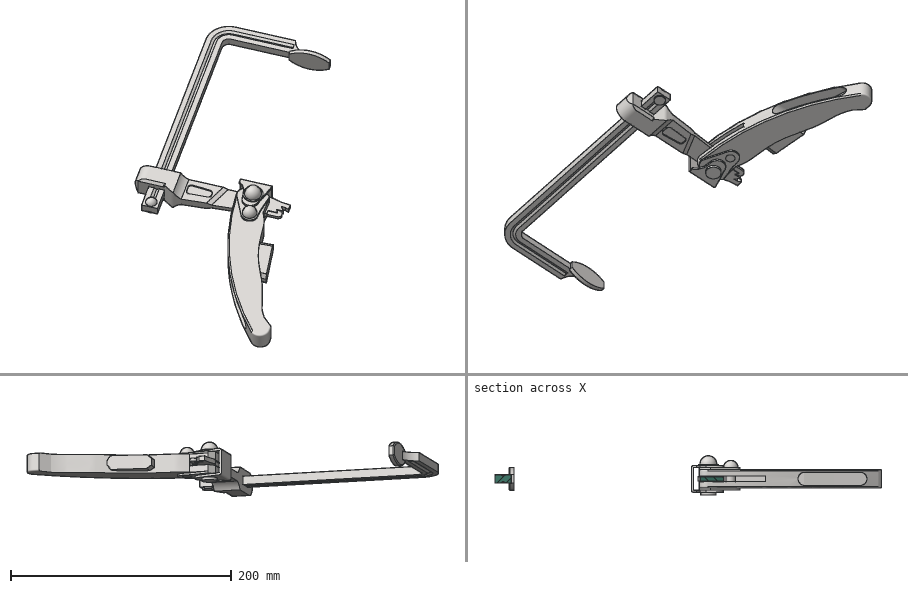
import cadquery as cq
import math


bar_width = 15.0
bar_half_thickness = 4.0
bar_left = 14.0
bar_top = 351.0
bar_bottom = 123.2
bar_end_x = 92.5
bend_inner_radius = 6.5
groove_width = 5.0
groove_depth = 1.5
stop_y = 129.0
stop_radius = 5.3
stop_top_z = 7.7
stop_bottom_z = -5.3
pad_left = 91.3
pad_right = 129.5
pad_half_height = 10.5
pad_end_half_height = 4.2
pad_front_y = 333.5
pad_thickness = 5.0
pad_bevel = 1.0
neck_end_x = 103.5

bar_mid_x = bar_left + bar_width / 2
bar_mid_y = bar_top - bar_width / 2
bend_outer_radius = bend_inner_radius + bar_width
bend_mid_radius = bend_inner_radius + bar_width / 2
bend_x = bar_left + bend_outer_radius
bend_y = bar_top - bend_outer_radius

arm_top = 164.5
head_bottom = 146.0
head_half_thickness = 10.5
head_end_x = 39.0
head_chamfer = 2.5
head_corner_bevel = 4.2
head_flat_end_x = 29.0
foot_corner_radius = 5.3
foot_inner_radius = 2.8
foot_left_x = 38.3
foot_right_x = 46.7
foot_y = 140.0
web_half_thickness = 4.0
blade_half_thickness = 2.0
blade_end_x = 147.5
step_x = 74.8
step_y = 153.7
step_run = 4.2
step_length = 84.2
step_angle = 22.5
recess_depth = 1.5
ratchet_x = 125.5
ratchet_top = 166.5
hook_bottom = 146.7
hook_y = 151.0
hook_half_thickness = 1.5

lever_half_thickness = 8.5
lever_top = 165.7
lever_outer_x = 91.3
lever_right = 169.2
lever_corner_radius = 7.7
lever_edge_fillet = 1.5
cheek_half_thickness = 10.2
blade_slot_half_width = 2.5
blade_slot_bottom = 105.3
blade_slot_depth_x = 116.0
blade_slot_through_y = 143.2
pocket_half_width = 6.0
pocket_bottom = 13.5
pocket_top = 75.8
pocket_mouth_x = 105.3

jaw_left = 93.5
jaw_right = 123.2
jaw_top = 172.7
jaw_tip_y = 143.5
plate_thickness = 2.0
jaw_half_thickness = cheek_half_thickness + plate_thickness

jaw_rivet_x = 109.5
jaw_rivet_y = 157.3
jaw_rivet_head_radius = 7.7
jaw_rivet_head_top = 21.0
jaw_rivet_collar_radius = 9.0
jaw_rivet_collar_height = 0.7
jaw_rivet_foot_radius = 7.0
jaw_rivet_foot_height = 2.5
pivot_rivet_x = 112.5
pivot_rivet_y = 137.0
pivot_rivet_head_radius = 6.5
pivot_rivet_head_top = 17.0
shank_radius = 4.2

trigger_half_thickness = 6.3
trigger_bevel = 4.2
trigger_bevel_drop = 2.8


def slab(outline, half_thickness):
    """Extrude a closed XY outline symmetrically about Z = 0."""
    return outline.extrude(2 * half_thickness).translate((0, 0, -half_thickness))


def dome(x, y, radius, base_z, top_z):
    """Spherical cap standing on a disc at base_z."""
    rise = top_z - base_z
    diagonal = radius * math.sqrt(0.5)
    sphere_radius = (radius**2 + rise**2) / (2 * rise)
    mid_rise = rise - sphere_radius + math.sqrt(sphere_radius**2 - diagonal**2)
    profile = (
        cq.Workplane("XZ")
        .moveTo(0, 0)
        .lineTo(radius, 0)
        .threePointArc((diagonal, mid_rise), (0, rise))
        .close()
    )
    return profile.revolve(360, (0, 0, 0), (0, 1, 0)).translate((x, y, base_z))


def disc(x, y, radius, z0, z1):
    """Cylinder along Z between two heights."""
    return cq.Workplane("XY").workplane(offset=z0).center(x, y).circle(radius).extrude(z1 - z0)


def make_rail():
    diagonal = math.sqrt(0.5)
    outline = (
        cq.Workplane("XY")
        .moveTo(bar_left, bar_bottom)
        .lineTo(bar_left, bend_y)
        .threePointArc(
            (bend_x - bend_outer_radius * diagonal, bend_y + bend_outer_radius * diagonal),
            (bend_x, bar_top),
        )
        .lineTo(bar_end_x, bar_top)
        .lineTo(bar_end_x, bar_top - bar_width)
        .lineTo(bend_x, bar_top - bar_width)
        .threePointArc(
            (bend_x - bend_inner_radius * diagonal, bend_y + bend_inner_radius * diagonal),
            (bar_left + bar_width, bend_y),
        )
        .lineTo(bar_left + bar_width, bar_bottom)
        .close()
    )
    rail = slab(outline, bar_half_thickness)

    path = (
        cq.Workplane("XY")
        .workplane(offset=bar_half_thickness)
        .moveTo(bar_mid_x, stop_y)
        .lineTo(bar_mid_x, bend_y)
        .threePointArc(
            (bend_x - bend_mid_radius * diagonal, bend_y + bend_mid_radius * diagonal),
            (bend_x, bar_mid_y),
        )
        .lineTo(bar_end_x, bar_mid_y)
    )
    groove = (
        cq.Workplane("XZ", origin=(bar_mid_x, stop_y, bar_half_thickness))
        .polyline([(-groove_width / 2, 0), (0, -groove_depth), (groove_width / 2, 0)])
        .close()
        .sweep(path)
    )
    return rail.cut(groove).cut(groove.mirror("XY"))


def make_pad():
    pad_mid_x = (pad_left + pad_right) / 2
    return (
        cq.Workplane("XZ", origin=(0, pad_front_y, 0))
        .moveTo(pad_left, bar_half_thickness)
        .threePointArc((pad_mid_x, pad_half_height), (pad_right, pad_end_half_height))
        .lineTo(pad_right, -pad_end_half_height)
        .threePointArc((pad_mid_x, -pad_half_height), (pad_left, -bar_half_thickness))
        .close()
        .extrude(-pad_thickness)
        .faces(">Y")
        .chamfer(pad_bevel)
    )


def make_neck():
    pad_back_y = pad_front_y + pad_thickness
    outline = (
        cq.Workplane("XY")
        .moveTo(bar_end_x, pad_front_y)
        .lineTo(bar_end_x, bar_top)
        .threePointArc((97.0, 343.0), (neck_end_x, pad_back_y))
        .lineTo(neck_end_x, pad_front_y)
        .close()
    )
    return slab(outline, bar_half_thickness)


def make_bar():
    stop = dome(bar_mid_x, stop_y, stop_radius, bar_half_thickness, stop_top_z)
    stop_core = disc(bar_mid_x, stop_y, stop_radius, stop_bottom_z, bar_half_thickness)
    return make_rail().union(make_neck()).union(make_pad()).union(stop_core).union(stop)


def make_arm_plan():
    """Head, foot, web and blade in plan, at the full head thickness."""
    outline = (
        cq.Workplane("XY")
        .polyline(
            [
                (0, arm_top),
                (0, head_bottom + head_corner_bevel),
                (head_corner_bevel, head_bottom),
                (head_flat_end_x, head_bottom),
                (foot_left_x, foot_y),
                (foot_right_x, foot_y),
                (95.5, 144.3),
                (ratchet_x, hook_bottom),
                (ratchet_x, ratchet_top),
                (122.0, 166.7),
                (116.0, arm_top),
            ]
        )
        .close()
    )
    plan = slab(outline, head_half_thickness)
    plan = upright_edge(plan, foot_left_x, foot_y).fillet(foot_corner_radius)
    return upright_edge(plan, head_flat_end_x, head_bottom).fillet(foot_inner_radius)


def upright_edge(body, x, y):
    """Select the edge parallel to Z that passes through the point (x, y)."""
    reach = 0.5
    around = cq.selectors.BoxSelector((x - reach, y - reach, -reach), (x + reach, y + reach, reach))
    return body.edges("|Z").edges(around)


def make_arm_thickness():
    """Side profile of the arm: round nose, full head, concave run-out to the web."""
    runout_x = head_end_x + 2.8
    runout_half_thickness = 7.0
    return (
        cq.Workplane("XZ")
        .moveTo(blade_end_x, web_half_thickness)
        .lineTo(foot_right_x, web_half_thickness)
        .threePointArc((runout_x, runout_half_thickness), (head_end_x, head_half_thickness))
        .lineTo(head_half_thickness, head_half_thickness)
        .threePointArc((0, 0), (head_half_thickness, -head_half_thickness))
        .lineTo(head_end_x, -head_half_thickness)
        .threePointArc((runout_x, -runout_half_thickness), (foot_right_x, -web_half_thickness))
        .lineTo(blade_end_x, -web_half_thickness)
        .close()
        .extrude(-bar_top)
    )


def make_arm(rail):
    arm = make_arm_plan().intersect(make_arm_thickness())
    arm = arm.cut(make_head_chamfers()).cut(rail)

    recess = (
        cq.Workplane("XY")
        .workplane(offset=web_half_thickness - recess_depth)
        .polyline([(48.5, 148.0), (48.5, 159.5), (71.5, 157.5), (71.5, 149.5)])
        .close()
        .extrude(recess_depth)
        .edges("|Z")
        .fillet(3.0)
    )
    step = (
        cq.Workplane("XZ", origin=(0, step_length / 2, 0))
        .polyline(
            [
                (0, web_half_thickness),
                (step_run, blade_half_thickness),
                (blade_end_x, blade_half_thickness),
                (blade_end_x, web_half_thickness),
            ]
        )
        .close()
        .extrude(step_length)
        .rotate((0, 0, 0), (0, 0, 1), -step_angle)
        .translate((step_x, step_y, 0))
    )
    for tool in (recess, step):
        arm = arm.cut(tool).cut(tool.mirror("XY"))
    return arm.union(make_ratchet())


def make_head_chamfers():
    """Bevels along the lower front edges of the head."""
    corner = (
        cq.Workplane("YZ")
        .polyline(
            [
                (head_bottom, head_half_thickness),
                (head_bottom + head_chamfer, head_half_thickness),
                (head_bottom, head_half_thickness - head_chamfer),
            ]
        )
        .close()
        .extrude(head_flat_end_x)
    )
    return corner.union(corner.mirror("XY"))


def make_ratchet():
    """Toothed end of the blade with a thinner hook below it."""
    teeth = (
        cq.Workplane("XY")
        .polyline(
            [
                (ratchet_x, ratchet_top), (134.0, 164.0), (143.2, 163.0), (143.0, 157.3), (139.7, 158.5),
                (136.0, 159.0), (139.5, 154.0), (132.7, 154.5), (134.8, hook_y), (ratchet_x, hook_y),
            ]
        )
        .close()
    )
    hook = (
        cq.Workplane("XY")
        .moveTo(ratchet_x, hook_bottom)
        .lineTo(136.0, hook_bottom)
        .threePointArc((139.0, 150.5), (137.0, 153.7))
        .lineTo(132.7, 154.5)
        .lineTo(ratchet_x, 154.5)
        .close()
    )
    return slab(teeth, blade_half_thickness).union(slab(hook, hook_half_thickness))


def make_lever_blank():
    outline = (
        cq.Workplane("XY")
        .moveTo(93.5, lever_top)
        .threePointArc((112.0, 72.0), (153.5, 3.0))
        .tangentArcPoint((lever_right, 8.5), relative=False)
        .lineTo(lever_right, 13.7)
        .lineTo(160.0, 22.5)
        .spline(
            [(153.7, 35.8), (148.0, 57.0), (137.5, 81.5), (131.0, 104.0), (128.8, 124.5), (123.5, 142.5)],
            includeCurrent=True,
        )
        .lineTo(124.3, 160.5)
        .lineTo(118.0, lever_top)
        .close()
    )
    return slab(outline, lever_half_thickness).edges("|Z and <X").fillet(lever_corner_radius)


def make_lever():
    lever = make_lever_blank()
    palm_edges = cq.selectors.BoxSelector((98.3, 42, -cheek_half_thickness), (133.5, 98.3, cheek_half_thickness))
    lever = lever.edges(palm_edges).fillet(lever_edge_fillet)

    cheek = (
        cq.Workplane("XY")
        .moveTo(94.5, 155.5)
        .lineTo(105.0, 133.7)
        .threePointArc((111.0, 128.5), (120.0, 133.7))
        .lineTo(120.8, 142.5)
        .lineTo(124.3, 160.5)
        .lineTo(118.0, lever_top)
        .lineTo(102.5, lever_top)
        .threePointArc((96.5, 161.8), (94.5, 155.5))
        .close()
    )
    lever = lever.union(slab(cheek, cheek_half_thickness))

    return lever.cut(make_blade_slot()).cut(make_grip_pocket())


def make_blade_slot():
    """Slot for the blade: open on both sides at the top, blind from the palm side below."""
    outline = (
        cq.Workplane("XY")
        .moveTo(blade_slot_depth_x, blade_slot_bottom)
        .lineTo(blade_slot_depth_x, blade_slot_through_y)
        .lineTo(blade_end_x, blade_slot_through_y)
        .lineTo(blade_end_x, jaw_top)
        .lineTo(lever_outer_x, jaw_top)
        .lineTo(lever_outer_x, blade_slot_bottom)
        .close()
    )
    return slab(outline, blade_slot_half_width)


def make_grip_pocket():
    """Deep round-ended pocket in the palm side of the grip."""
    pocket_mid = (pocket_bottom + pocket_top) / 2
    round_ended = (
        cq.Workplane("YZ", origin=(pocket_mouth_x, pocket_mid, 0))
        .slot2D(pocket_top - pocket_bottom, pocket_half_width * 2)
        .extrude(lever_right - pocket_mouth_x)
    )
    floor_limit = (
        cq.Workplane("XY")
        .moveTo(pocket_mouth_x, pocket_top)
        .lineTo(133.5, pocket_top)
        .lineTo(134.0, 70.2)
        .lineTo(142.0, 42.5)
        .lineTo(150.2, pocket_bottom)
        .lineTo(pocket_mouth_x, pocket_bottom)
        .close()
    )
    return round_ended.intersect(slab(floor_limit, lever_half_thickness))


def make_jaw():
    side = (
        cq.Workplane("XY")
        .moveTo(jaw_left, jaw_top)
        .lineTo(jaw_left, 167.8)
        .lineTo(97.5, 164.5)
        .lineTo(100.5, 159.5)
        .lineTo(101.0, 151.3)
        .threePointArc((109.0, jaw_tip_y), (117.0, 151.3))
        .lineTo(120.8, 162.0)
        .lineTo(jaw_right, 170.5)
        .lineTo(jaw_right, jaw_top)
        .close()
    )
    gap = (
        cq.Workplane("XY")
        .moveTo(jaw_left, jaw_top - plate_thickness)
        .lineTo(jaw_right, jaw_top - plate_thickness)
        .lineTo(jaw_right, jaw_tip_y - plate_thickness)
        .lineTo(jaw_left, jaw_tip_y - plate_thickness)
        .close()
    )
    jaw = slab(side, jaw_half_thickness).cut(slab(gap, cheek_half_thickness))
    return jaw.edges("|X and >Y").fillet(plate_thickness)


def make_jaw_rivet():
    collar_top = jaw_half_thickness + jaw_rivet_collar_height
    foot_bottom = -jaw_half_thickness - jaw_rivet_foot_height
    place = (jaw_rivet_x, jaw_rivet_y)
    shank = disc(*place, shank_radius, -jaw_half_thickness, jaw_half_thickness)
    collar = disc(*place, jaw_rivet_collar_radius, jaw_half_thickness, collar_top)
    foot = disc(*place, jaw_rivet_foot_radius, foot_bottom, -jaw_half_thickness)
    head = dome(*place, jaw_rivet_head_radius, collar_top, jaw_rivet_head_top)
    return shank.union(collar).union(foot).union(head)


def make_pivot_rivet():
    place = (pivot_rivet_x, pivot_rivet_y)
    shank = disc(*place, shank_radius, -cheek_half_thickness, cheek_half_thickness)
    head = dome(*place, pivot_rivet_head_radius, cheek_half_thickness, pivot_rivet_head_top)
    return shank.union(head)


def make_trigger():
    """Release trigger seated against the front edge of the lever."""
    outline = (
        cq.Workplane("XY")
        .polyline([(126.5, 111.0), (142.0, 112.0), (143.0, 104.0), (147.0, 71.5), (137, 71.5)])
        .close()
    )
    trigger = slab(outline, trigger_half_thickness)
    for end in (">Y", "<Y"):
        trigger = trigger.faces(end).edges(">Z or <Z").chamfer(trigger_bevel_drop, trigger_bevel)
    return trigger.cut(make_lever_blank())


jaw_rivet = make_jaw_rivet()
pivot_rivet = make_pivot_rivet()
bar = make_bar()
arm = make_arm(bar).cut(jaw_rivet)
lever = make_lever().cut(jaw_rivet).cut(pivot_rivet)
jaw = make_jaw().cut(jaw_rivet)
trigger = make_trigger()

bodies = [bar, arm, lever, jaw, jaw_rivet, pivot_rivet, trigger]
result = cq.Compound.makeCompound([body.solids().val() for body in bodies])